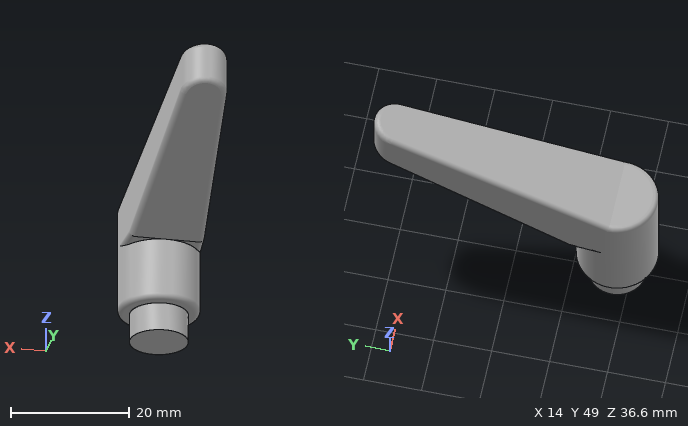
import cadquery as cq
import math

OVERALL_LENGTH = 49.0

BODY_RADIUS = 7.0
BODY_TOP = 25.0
COLLAR_RADIUS = 5.0
COLLAR_HEIGHT = 5.0

TIP_RADIUS = 4.0
TOP_SLOPE = 15.9
UNDERSIDE_SLOPE = 21.0
UNDERSIDE_HEIGHT = 15.95

EDGE_RADIUS = 1.0

ARM_REACH = OVERALL_LENGTH - BODY_RADIUS
TIP_CENTRE = ARM_REACH - TIP_RADIUS

ROOT_DISTANCE = math.hypot(BODY_RADIUS, TIP_CENTRE)
ROOT_DROP_ANGLE = math.atan2(TIP_CENTRE, BODY_RADIUS)
TANGENT_ANGLE = math.acos(TIP_RADIUS / ROOT_DISTANCE) - ROOT_DROP_ANGLE
TANGENT_X = TIP_RADIUS * math.cos(TANGENT_ANGLE)
TANGENT_Y = TIP_CENTRE + TIP_RADIUS * math.sin(TANGENT_ANGLE)


def rise(run, slope):
    """Height gained over a horizontal run at a slope in degrees."""
    return run * math.tan(math.radians(slope))


def make_arm():
    """Tapered arm with a round tip, starting flat at the pivot axis."""
    tip_top = BODY_TOP + rise(ARM_REACH, TOP_SLOPE)
    tip_bottom = UNDERSIDE_HEIGHT + rise(ARM_REACH - BODY_RADIUS, UNDERSIDE_SLOPE)
    plan = (
        cq.Workplane("XY")
        .moveTo(BODY_RADIUS, 0)
        .lineTo(TANGENT_X, TANGENT_Y)
        .threePointArc((0, ARM_REACH), (-TANGENT_X, TANGENT_Y))
        .lineTo(-BODY_RADIUS, 0)
        .close()
        .extrude(tip_top)
    )
    side_profile = (
        cq.Workplane("YZ")
        .polyline([
            (0, UNDERSIDE_HEIGHT),
            (BODY_RADIUS, UNDERSIDE_HEIGHT),
            (ARM_REACH, tip_bottom),
            (ARM_REACH, tip_top),
            (0, BODY_TOP),
        ])
        .close()
        .extrude(BODY_RADIUS, both=True)
    )
    arm = plan.intersect(side_profile)
    rims = arm.edges("not (|X or |Z)")
    return rims.fillet(EDGE_RADIUS)


def make_body():
    """Pivot cylinder with both rims rounded."""
    return (
        cq.Workplane("XY")
        .workplane(offset=COLLAR_HEIGHT)
        .circle(BODY_RADIUS)
        .extrude(BODY_TOP - COLLAR_HEIGHT)
        .faces("<Z or >Z")
        .edges()
        .fillet(EDGE_RADIUS)
    )


def make_collar():
    """Plain collar overlapping into the body."""
    return cq.Workplane("XY").circle(COLLAR_RADIUS).extrude(UNDERSIDE_HEIGHT)


result = make_arm().union(make_body()).union(make_collar())